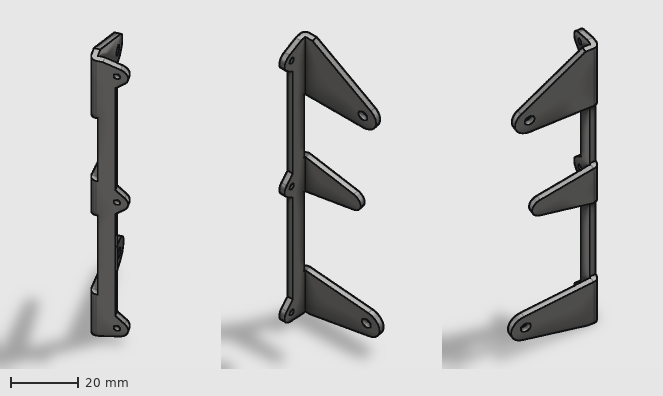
import cadquery as cq
import math

height = 120.0
thickness = 2.0
bend_radius = thickness
strip_left = 2.5
strip_right = 8.0

width = 12.0
ear_radius = 3.5
ear_x = width - ear_radius
ear_half_base = 5.3
ear_end_offset = 5.0
ear_heights = (ear_end_offset, height / 2, height - ear_end_offset)
ear_hole_diameter = 2.0
top_edge_flat = 4.1
bottom_edge_flat = 3.0

mount_tip_radius = 5.0
mount_hole_diameter = 3.4

upper_depth = 28.9
upper_height = 25.1
upper_bottom = height - upper_height
upper_tip_z = upper_bottom + mount_tip_radius
upper_flat = 4.8

middle_depth = 23.0
middle_tip_radius = 3.5
middle_height = 15.0
middle_bottom = (height - middle_height) / 2
middle_top = middle_bottom + middle_height

lower_depth = 30.2
lower_top = 18.0
lower_tip_z = 10.2
lower_flat = 4.0


def tangent_point(start, center, radius, side):
    """Touching point of a line from start to a circle; side is +1 (counterclockwise) or -1."""
    dx = start[0] - center[0]
    dy = start[1] - center[1]
    angle = math.atan2(dy, dx) + side * math.acos(radius / math.hypot(dx, dy))
    return (center[0] + radius * math.cos(angle), center[1] + radius * math.sin(angle))


def rounded_lobe(plane, root, lower_start, upper_start, center, radius):
    """Plate in (outward, Z) coordinates: straight sides running tangent into a round tip."""
    tip = (center[0] + radius, center[1])
    outline = (
        cq.Workplane(plane)
        .moveTo(root, lower_start[1])
        .lineTo(*lower_start)
        .lineTo(*tangent_point(lower_start, center, radius, 1))
        .threePointArc(tip, tangent_point(upper_start, center, radius, -1))
        .lineTo(*upper_start)
        .lineTo(root, upper_start[1])
        .close()
    )
    direction = -1 if plane == "XZ" else 1
    return outline.extrude(direction * thickness)


def flange(depth, tip_z, tip_radius, lower_start, upper_start):
    """Flange folded back toward +Y at the left edge, X = 0."""
    return rounded_lobe("YZ", 0, lower_start, upper_start, (depth - tip_radius, tip_z), tip_radius)


def hole(plane, center, diameter):
    """Cutter that passes through the sheet from both sides of the given plane."""
    return cq.Workplane(plane).center(*center).circle(diameter / 2).extrude(2 * thickness, both=True)


def box(x_start, x_end, z_start, z_end):
    """Rectangular piece of the front sheet."""
    size = (x_end - x_start, thickness, z_end - z_start)
    return cq.Workplane("XY").box(*size, centered=False).translate((x_start, 0, z_start))


def ear(z):
    """Ear at height z; the end ears slope from the flat top or bottom edge of the sheet."""
    lower_start = (strip_right, z - ear_half_base)
    upper_start = (strip_right, z + ear_half_base)
    if z == ear_heights[0]:
        lower_start = (bottom_edge_flat, 0)
    if z == ear_heights[-1]:
        upper_start = (top_edge_flat, height)
    return rounded_lobe("XZ", strip_left, lower_start, upper_start, (ear_x, z), ear_radius)


body = box(strip_left, strip_right, ear_heights[0], ear_heights[-1])
for ear_z in ear_heights:
    body = body.union(ear(ear_z))

for web_bottom, web_top in ((0, lower_top), (middle_bottom, middle_top), (upper_bottom, height)):
    body = body.union(box(0, strip_left, web_bottom, web_top))

upper_flange = flange(
    upper_depth, upper_tip_z, mount_tip_radius, (thickness, upper_bottom), (upper_flat, height)
)
middle_flange = flange(
    middle_depth, height / 2, middle_tip_radius, (thickness, middle_bottom), (thickness, middle_top)
)
lower_flange = flange(lower_depth, lower_tip_z, mount_tip_radius, (lower_flat, 0), (thickness, lower_top))
body = body.union(upper_flange).union(middle_flange).union(lower_flange)

body = body.faces("<X").edges("|Z and <Y").fillet(bend_radius)

for ear_z in ear_heights:
    body = body.cut(hole("XZ", (ear_x, ear_z), ear_hole_diameter))
for depth, tip_z in ((upper_depth, upper_tip_z), (lower_depth, lower_tip_z)):
    body = body.cut(hole("YZ", (depth - mount_tip_radius, tip_z), mount_hole_diameter))

result = body